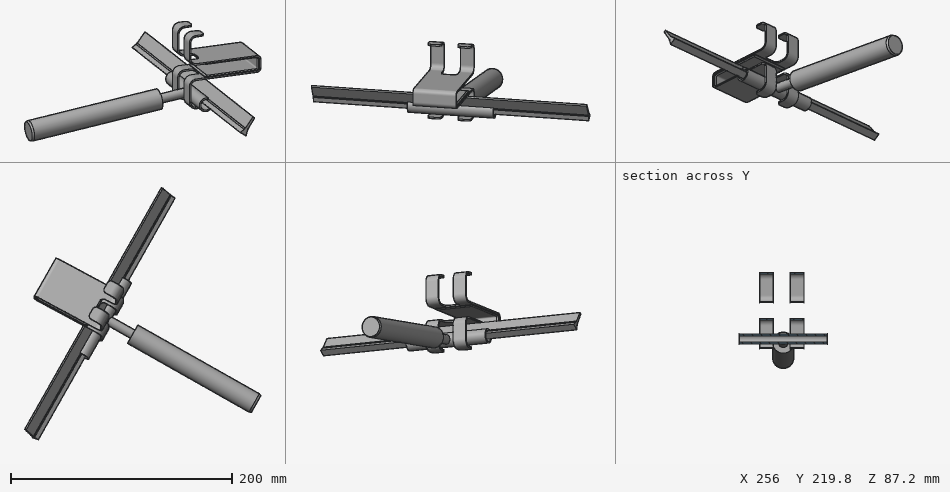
import cadquery as cq

SHEET = 1.5
HOLDER_WIDTH = 40.2
HOLDER_OFFSET_X = 1.3
HOLDER_HEIGHT = 70.1
HOLDER_MID_Z = 25.5
LOOP_HEIGHT = 16.0
FRONT_Y = -8.7
BACK_Y = 61.5
ARM_TIP_Y = 6.1
ARM_BEND = 7.0
LOOP_BEND = 4.0
SLOT_WIDTH = 15.0
SLOT_ROOT_Y = 7.0
CORNER_RADIUS = 3.5

LINING = 1.3
LINING_EDGE = 0.5
LINING_INSET = 1.0
LINING_SIDE_SLOPE = 1.3
LINING_FRONT_Y = 7.2
LINING_FRONT_SLOPE = 2.3

TUBE_DIAMETER = 13.0
TUBE_WALL = 1.5
TUBE_LENGTH = 80.0
BLADE_LENGTH = 256.0
BLADE_TILT = 35.5
BLADE_TIP = 18.0
BLADE_TIP_HALF = 1.0
BLADE_ROOT = 5.6
BLADE_ROOT_HALF = 1.48
NECK_HALF = 1.95
NECK_BASE = 4.0
HEAD_BASE = -0.3
HEAD_HALF = 3.5
HANDLE_TILT = 6.3
ROD_DIAMETER = 8.7
GRIP_DIAMETER = 19.2
GRIP_START = 30.0
GRIP_LENGTH = 128.3
GRIP_CHAMFER_LENGTH = 2.0
GRIP_CHAMFER_DEPTH = 0.8

TUBE_RADIUS = TUBE_DIAMETER / 2
TUBE_BORE_RADIUS = TUBE_RADIUS - TUBE_WALL
LOOP_TOP_Z = HOLDER_MID_Z + LOOP_HEIGHT / 2


def extrude_along_x(outline, length, center_x=0.0):
    """Extrude a closed YZ outline by a length centred on center_x."""
    return outline.extrude(length / 2, both=True).translate((center_x, 0, 0))


def both_halves(upper):
    """Join the part above the holder's mid plane to its mirror image below."""
    return upper.union(upper.mirror("XY", (0, 0, HOLDER_MID_Z)))


def bent_sheet():
    """Upper half of the bent sheet at full width."""
    top_z = HOLDER_MID_Z + HOLDER_HEIGHT / 2
    inner_arm_bend = ARM_BEND - SHEET
    inner_loop_bend = LOOP_BEND - SHEET
    loop_under_z = LOOP_TOP_Z - SHEET
    outline = (
        cq.Workplane("YZ")
        .moveTo(ARM_TIP_Y, top_z)
        .lineTo(FRONT_Y + ARM_BEND, top_z)
        .radiusArc((FRONT_Y, top_z - ARM_BEND), -ARM_BEND)
        .lineTo(FRONT_Y, loop_under_z + ARM_BEND)
        .radiusArc((FRONT_Y + ARM_BEND, loop_under_z), -ARM_BEND)
        .lineTo(BACK_Y - LOOP_BEND, loop_under_z)
        .radiusArc((BACK_Y - SHEET, loop_under_z - inner_loop_bend), inner_loop_bend)
        .lineTo(BACK_Y - SHEET, HOLDER_MID_Z)
        .lineTo(BACK_Y, HOLDER_MID_Z)
        .lineTo(BACK_Y, LOOP_TOP_Z - LOOP_BEND)
        .radiusArc((BACK_Y - LOOP_BEND, LOOP_TOP_Z), -LOOP_BEND)
        .lineTo(FRONT_Y + ARM_BEND, LOOP_TOP_Z)
        .radiusArc((FRONT_Y + SHEET, LOOP_TOP_Z + inner_arm_bend), inner_arm_bend)
        .lineTo(FRONT_Y + SHEET, top_z - ARM_BEND)
        .radiusArc((FRONT_Y + ARM_BEND, top_z - SHEET), inner_arm_bend)
        .lineTo(ARM_TIP_Y, top_z - SHEET)
        .close()
    )
    return extrude_along_x(outline, HOLDER_WIDTH, HOLDER_OFFSET_X)


def arm_slot():
    """Vertical cutter that splits the sheet into two arms; its root has rounded corners."""
    slot_length = 2 * (SLOT_ROOT_Y - FRONT_Y)
    return (
        cq.Workplane("XY")
        .box(SLOT_WIDTH, slot_length, 2 * HOLDER_HEIGHT)
        .edges("|Z and >Y")
        .fillet(CORNER_RADIUS)
        .translate((HOLDER_OFFSET_X, SLOT_ROOT_Y - slot_length / 2, HOLDER_MID_Z))
    )


def loop_section(x, depth):
    """YZ outline of the space inside the loop, held off the sheet by a depth."""
    back_y = BACK_Y - SHEET - depth
    half = LOOP_HEIGHT / 2 - SHEET - depth
    corner = LOOP_BEND - SHEET - depth
    return (
        cq.Workplane("YZ", origin=(x, 0, HOLDER_MID_Z))
        .moveTo(FRONT_Y, -half)
        .lineTo(back_y - corner, -half)
        .radiusArc((back_y, -half + corner), -corner)
        .lineTo(back_y, half - corner)
        .radiusArc((back_y - corner, half), -corner)
        .lineTo(FRONT_Y, half)
        .close()
    )


def lining_side_slope():
    """Cutter that slopes the lining above its low side wall on the +X side, all around the loop."""
    foot_x = HOLDER_OFFSET_X + HOLDER_WIDTH / 2 - LINING_INSET
    crest = loop_section(foot_x - LINING_SIDE_SLOPE, LINING).val()
    rim = loop_section(foot_x, LINING_EDGE).val()
    return cq.Workplane(cq.Solid.makeLoft([crest, rim], True))


def lining_front_slope():
    """Cutter that ends the lining in a low wall and a slope, above and below the loop's mid plane."""
    foot_half = LOOP_HEIGHT / 2 - SHEET
    outline = (
        cq.Workplane("YZ", origin=(0, 0, HOLDER_MID_Z))
        .moveTo(FRONT_Y, -foot_half)
        .lineTo(LINING_FRONT_Y, -foot_half)
        .lineTo(LINING_FRONT_Y, LINING_EDGE - foot_half)
        .lineTo(LINING_FRONT_Y + LINING_FRONT_SLOPE, LINING - foot_half)
        .lineTo(LINING_FRONT_Y + LINING_FRONT_SLOPE, foot_half - LINING)
        .lineTo(LINING_FRONT_Y, foot_half - LINING_EDGE)
        .lineTo(LINING_FRONT_Y, foot_half)
        .lineTo(FRONT_Y, foot_half)
        .close()
    )
    return extrude_along_x(outline, HOLDER_WIDTH, HOLDER_OFFSET_X)


def lining():
    """Thin raised layer on the three inner walls of the loop."""
    width = HOLDER_WIDTH - 2 * LINING_INSET
    filling = extrude_along_x(loop_section(0, 0), width, HOLDER_OFFSET_X)
    hollow = extrude_along_x(loop_section(0, LINING), HOLDER_WIDTH, HOLDER_OFFSET_X)
    slope = lining_side_slope()
    return (
        filling.cut(hollow)
        .cut(slope)
        .cut(slope.mirror("YZ", (HOLDER_OFFSET_X, 0, 0)))
        .cut(lining_front_slope())
    )


def arm_tip_corners(solid):
    """Round the tip corners of all four arms."""
    tips = cq.selectors.BoxSelector(
        (-HOLDER_WIDTH, ARM_TIP_Y - SHEET / 2, -HOLDER_HEIGHT),
        (HOLDER_WIDTH, ARM_TIP_Y + SHEET / 2, 2 * HOLDER_HEIGHT),
    )
    return solid.edges("|Z").edges(tips).fillet(CORNER_RADIUS)


def make_holder():
    sheet = both_halves(bent_sheet()).cut(arm_slot())
    return arm_tip_corners(sheet).union(lining())


def tube():
    outline = cq.Workplane("YZ").circle(TUBE_RADIUS).circle(TUBE_BORE_RADIUS)
    return extrude_along_x(outline, TUBE_LENGTH)


def blade():
    """Tapered blade; its flared head sits in the tube and its neck passes through the wall."""
    half_outline = [
        (HEAD_HALF, HEAD_BASE),
        (NECK_HALF, NECK_BASE),
        (NECK_HALF, BLADE_ROOT),
        (BLADE_ROOT_HALF, BLADE_ROOT),
        (BLADE_TIP_HALF, BLADE_TIP),
    ]
    mirrored = [(-half, height) for half, height in reversed(half_outline)]
    outline = cq.Workplane("YZ").polyline(half_outline + mirrored).close()
    upright = extrude_along_x(outline, BLADE_LENGTH)
    return upright.rotate((0, 0, 0), (1, 0, 0), -BLADE_TILT)


def handle():
    """Rod and grip, pointing forward and down from the tube axis."""
    rod = cq.Workplane("XY").circle(ROD_DIAMETER / 2).extrude(GRIP_START)
    grip = (
        cq.Workplane("XY", origin=(0, 0, GRIP_START))
        .circle(GRIP_DIAMETER / 2)
        .extrude(GRIP_LENGTH)
        .faces(">Z")
        .chamfer(GRIP_CHAMFER_LENGTH, GRIP_CHAMFER_DEPTH)
    )
    tube_space = extrude_along_x(cq.Workplane("YZ").circle(TUBE_BORE_RADIUS), TUBE_LENGTH)
    upright = rod.union(grip)
    return upright.rotate((0, 0, 0), (1, 0, 0), 90 + HANDLE_TILT).cut(tube_space)


def make_squeegee():
    return tube().union(blade()).union(handle())


holder = make_holder()
squeegee = make_squeegee()
result = cq.Compound.makeCompound([holder.solids().val(), squeegee.solids().val()])